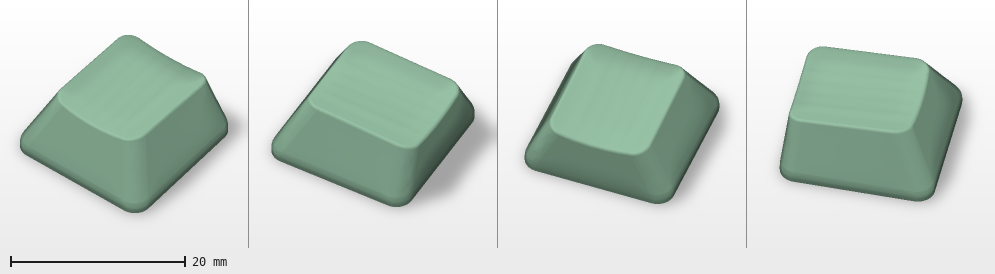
import cadquery as cq
import math

BASE_SIZE = 18.16
BASE_CORNER_RADIUS = 2.0
SKIRT_HEIGHT = 0.67
SHOULDER_HEIGHT = 0.73

TOP_WIDTH = 11.62
TOP_BACK_Y = 8.52
TOP_FRONT_Y = -5.38
TOP_CORNER_RADIUS = 1.85
TOP_HEIGHT = 7.99

DISH_RADIUS = 25.42
DISH_FLOOR_HEIGHT = 6.8
DISH_TILT = 3.1
DISH_LENGTH = 3 * BASE_SIZE
RIM_RADIUS = 0.36

BODY_BOTTOM = SKIRT_HEIGHT + SHOULDER_HEIGHT
WALL_START = SKIRT_HEIGHT + SHOULDER_HEIGHT / 2


def rounded_outline(width, back_y, front_y, corner_radius):
    """Rounded rectangle centred in X, spanning front_y to back_y."""
    return (
        cq.Sketch()
        .push([(0, (back_y + front_y) / 2)])
        .rect(width, back_y - front_y)
        .reset()
        .vertices()
        .fillet(corner_radius)
    )


def shoulder_section(height):
    """Level section of the shoulder; its inset grows parabolically to meet the walls smoothly."""
    tilt_slope = math.tan(math.radians(DISH_TILT))
    half = BASE_SIZE / 2
    rise = (height - SKIRT_HEIGHT) ** 2 / (2 * SHOULDER_HEIGHT)
    wall_rise = TOP_HEIGHT - WALL_START
    back_slope = (half - TOP_BACK_Y) / (wall_rise - tilt_slope * TOP_BACK_Y)
    front_slope = (half + TOP_FRONT_Y) / (wall_rise - tilt_slope * TOP_FRONT_Y)
    outline = rounded_outline(
        BASE_SIZE - (BASE_SIZE - TOP_WIDTH) * rise / wall_rise,
        half - back_slope * rise,
        -half + front_slope * rise,
        BASE_CORNER_RADIUS - (BASE_CORNER_RADIUS - TOP_CORNER_RADIUS) * rise / wall_rise,
    )
    return outline.moved(cq.Location(cq.Vector(0, 0, height)))


def top_section():
    """Tilted outline that closes the tapered blank."""
    tilt_cosine = math.cos(math.radians(DISH_TILT))
    outline = rounded_outline(
        TOP_WIDTH,
        TOP_BACK_Y / tilt_cosine,
        TOP_FRONT_Y / tilt_cosine,
        TOP_CORNER_RADIUS,
    )
    tilt = cq.Location(cq.Vector(0, 0, TOP_HEIGHT), cq.Vector(1, 0, 0), -DISH_TILT)
    return outline.moved(tilt)


def make_blank():
    """Straight skirt, curved shoulder and tapered body."""
    shoulder_heights = (SKIRT_HEIGHT, WALL_START, BODY_BOTTOM)
    shoulder_sections = [shoulder_section(height) for height in shoulder_heights]
    skirt = cq.Workplane("XY").placeSketch(shoulder_sections[0]).extrude(-SKIRT_HEIGHT)
    shoulder = cq.Workplane("XY").placeSketch(*shoulder_sections).loft()
    body = cq.Workplane("XY").placeSketch(shoulder_sections[-1], top_section()).loft(ruled=True)
    return skirt.union(shoulder).union(body)


def make_dish():
    """Long cylinder along Y, tilted and raised to touch the dish floor."""
    axis_height = DISH_FLOOR_HEIGHT + DISH_RADIUS / math.cos(math.radians(DISH_TILT))
    return (
        cq.Workplane("XZ")
        .circle(DISH_RADIUS)
        .extrude(DISH_LENGTH / 2, both=True)
        .rotate((0, 0, 0), (1, 0, 0), -DISH_TILT)
        .translate((0, 0, axis_height))
    )


def round_rim(keycap):
    """Round the edge between the dish and the walls."""
    dish_face = keycap.faces(cq.selectors.NearestToPointSelector((0, 0, DISH_FLOOR_HEIGHT)))
    return dish_face.edges().fillet(RIM_RADIUS)


result = round_rim(make_blank().cut(make_dish()))